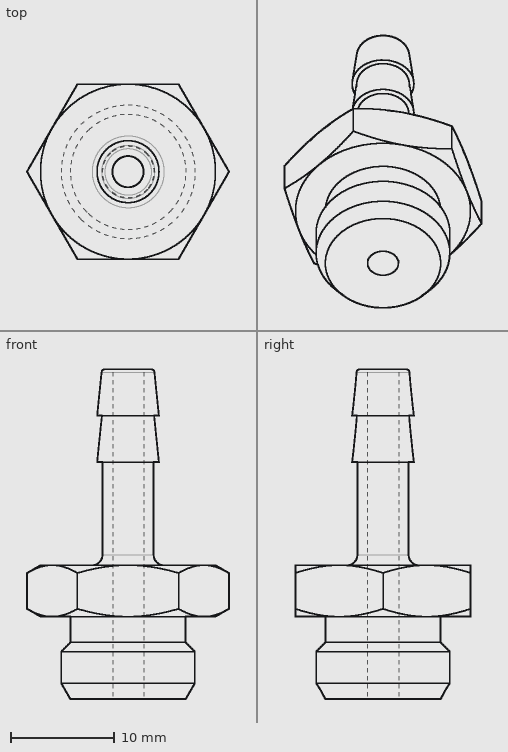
import cadquery as cq
import math

total_height = 32.0
hex_bottom = 8.0
hex_height = 5.0
hex_top = hex_bottom + hex_height
collar_top = 5.5
barb_length = 4.5
barb_count = 2

hex_across_flats = 17.0
hex_across_corners = hex_across_flats / math.cos(math.radians(30))
collar_radius = 13.0 / 2
neck_radius = 11.2 / 2
stem_radius = 5.0 / 2
barb_radius = 6.0 / 2
barb_tip_radius = 5.1 / 2
bore_diameter = 3.0

chamfer_angle = math.radians(30)
stem_fillet = 1.0
tip_round = 0.32


def make_hexagon():
    """Hexagon with both ends turned to a 30 degree cone starting at the flats."""
    hexagon = (
        cq.Workplane("XY")
        .workplane(offset=hex_bottom)
        .polygon(6, hex_across_corners)
        .extrude(hex_height)
    )
    flat_radius = hex_across_flats / 2
    corner_radius = hex_across_corners / 2
    corner_drop = (corner_radius - flat_radius) * math.tan(chamfer_angle)
    turned_envelope = (
        cq.Workplane("XZ")
        .moveTo(0, hex_bottom)
        .lineTo(flat_radius, hex_bottom)
        .lineTo(corner_radius, hex_bottom + corner_drop)
        .lineTo(corner_radius, hex_top - corner_drop)
        .lineTo(flat_radius, hex_top)
        .lineTo(0, hex_top)
        .close()
        .revolve(360, (0, 0), (0, 1))
    )
    return hexagon.intersect(turned_envelope)


def make_threaded_end():
    """Plain collar with a steep tapered lead-in below and a 45 degree step to the neck."""
    step = collar_radius - neck_radius
    lead_in = step / math.tan(chamfer_angle)
    return (
        cq.Workplane("XZ")
        .lineTo(neck_radius, 0)
        .lineTo(collar_radius, lead_in)
        .lineTo(collar_radius, collar_top - step)
        .lineTo(neck_radius, collar_top)
        .lineTo(neck_radius, hex_bottom)
        .lineTo(0, hex_bottom)
        .close()
        .revolve(360, (0, 0), (0, 1))
    )


def make_hose_tail():
    """Stem with a concave root fillet and tapered barbs stacked up to the tip."""
    root_radius = stem_radius + stem_fillet
    arc_offset = stem_fillet * (1 - math.sqrt(0.5))
    profile = (
        cq.Workplane("XZ")
        .moveTo(0, hex_top)
        .lineTo(root_radius, hex_top)
        .threePointArc(
            (stem_radius + arc_offset, hex_top + arc_offset),
            (stem_radius, hex_top + stem_fillet),
        )
    )
    for index in range(barb_count):
        barb_bottom = total_height - (barb_count - index) * barb_length
        profile = (
            profile.lineTo(stem_radius, barb_bottom)
            .lineTo(barb_radius, barb_bottom)
            .lineTo(barb_tip_radius, barb_bottom + barb_length)
        )
    tail = profile.lineTo(0, total_height).close().revolve(360, (0, 0), (0, 1))
    return tail.faces(">Z").edges().fillet(tip_round)


body = make_threaded_end().union(make_hexagon()).union(make_hose_tail())
bore = cq.Workplane("XY").circle(bore_diameter / 2).extrude(total_height)
result = body.cut(bore)